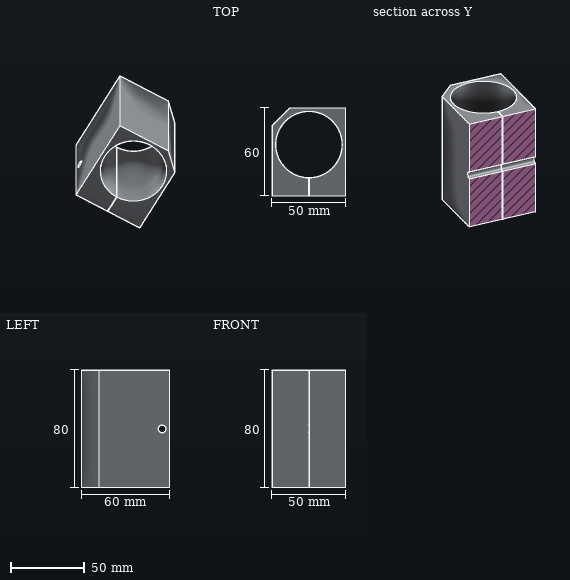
import cadquery as cq

width = 50.0
depth = 60.0
height = 80.0
corner_chamfer = 12.0

bore_diameter = 45.0
bore_to_back = width / 2
front_y = bore_to_back - depth

slit_width = 0.35

screw_diameter = 5.0
screw_to_front = 5.0


def make_block():
    block = cq.Workplane("XY").box(width, depth, height, centered=(True, False, False))
    block = block.translate((0, front_y, 0))
    return block.edges("|Z and <X and >Y").chamfer(corner_chamfer)


def make_bore():
    return cq.Workplane("XY").circle(bore_diameter / 2).extrude(height)


def make_slit():
    slit = cq.Workplane("XY").box(slit_width, -front_y, height, centered=False)
    return slit.translate((0, front_y, 0))


def make_screw_hole():
    return (
        cq.Workplane("YZ")
        .center(front_y + screw_to_front, height / 2)
        .circle(screw_diameter / 2)
        .extrude(width / 2, both=True)
    )


result = make_block().cut(make_bore()).cut(make_slit()).cut(make_screw_hole())